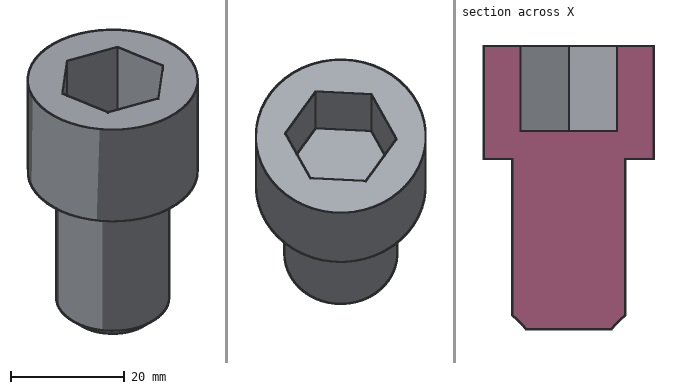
import cadquery as cq
import math

total_length = 50
head_diameter = 30
shank_diameter = 20
head_height = shank_diameter
shank_length = total_length - head_height
tip_chamfer = 2.5
socket_across_flats = 17
socket_depth = 0.75 * head_height


def make_shank():
    """Shank below the XY plane with a chamfered tip."""
    shank = cq.Workplane("XY").circle(shank_diameter / 2).extrude(-shank_length)
    return shank.faces("<Z").chamfer(tip_chamfer)


def make_head():
    """Cylindrical head seated on the XY plane."""
    return cq.Workplane("XY").circle(head_diameter / 2).extrude(head_height)


def make_socket():
    """Hexagonal key socket with two corners on the X axis."""
    across_corners = socket_across_flats / math.cos(math.radians(30))
    top_plane = cq.Workplane("XY").workplane(offset=head_height)
    return top_plane.polygon(6, across_corners).extrude(-socket_depth)


result = make_head().union(make_shank()).cut(make_socket())